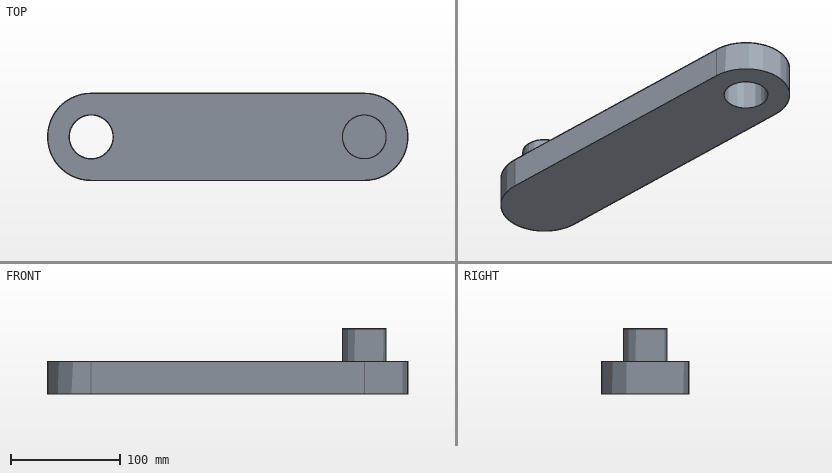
import cadquery as cq

centre_distance = 250.0
link_width = 80.0
link_thickness = 30.0
pin_diameter = 40.0
pin_height = 30.0
hole_diameter = pin_diameter

hole_x = -centre_distance / 2
pin_x = centre_distance / 2


def link_bar():
    """Flat bar with full-round ends, lying on the XY plane."""
    return (
        cq.Workplane("XY")
        .slot2D(centre_distance + link_width, link_width)
        .extrude(link_thickness)
    )


def pin():
    """Cylindrical pin standing on the top face of the bar."""
    return (
        cq.Workplane("XY")
        .workplane(offset=link_thickness)
        .center(pin_x, 0)
        .circle(pin_diameter / 2)
        .extrude(pin_height)
    )


def through_hole():
    """Cutter for the hole through the full thickness of the bar."""
    return (
        cq.Workplane("XY")
        .center(hole_x, 0)
        .circle(hole_diameter / 2)
        .extrude(link_thickness)
    )


result = link_bar().union(pin()).cut(through_hole())